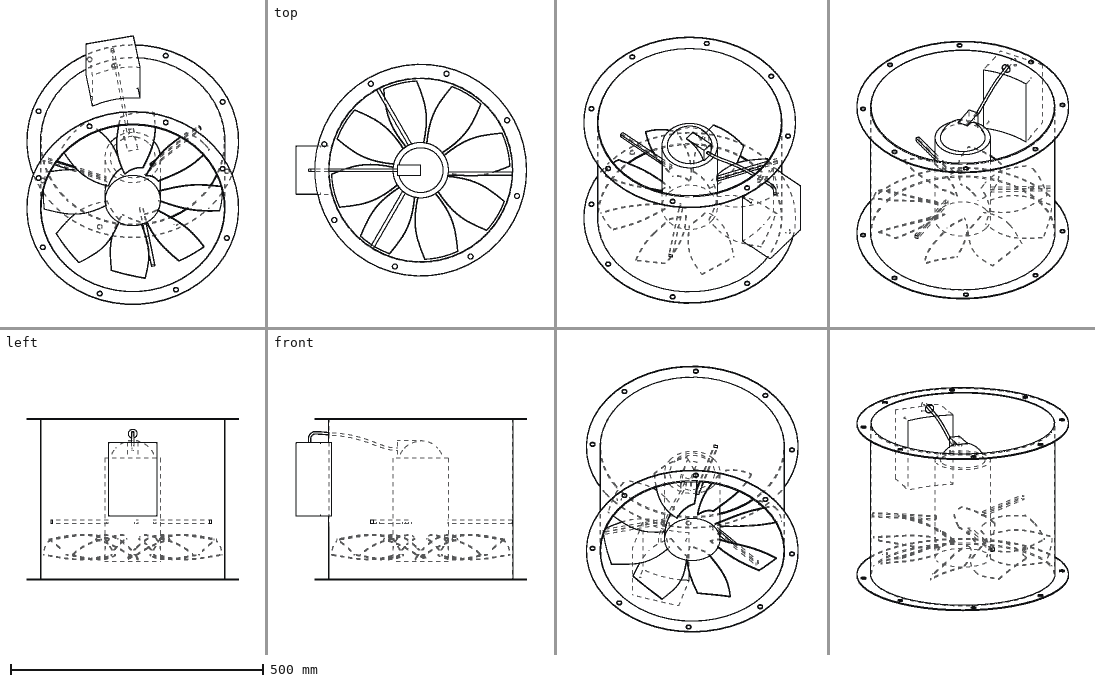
import cadquery as cq
import math

overall_length = 457.5
flange_radius = 210.0
casing_radius = 183.0
bore_radius = 181.5
casing_height = 320.0
flange_thickness = 2.0

bolt_circle_radius = 197.5
bolt_hole_diameter = 9.5
bolt_hole_count = 8
first_bolt_angle = 30

hub_radius = 55.0
hub_bottom = 36.5
hub_top = 241.5
dome_radius = 44.5
dome_height = 34.5

entry_length = 45.8
entry_width = 20.5

blade_count = 8
first_blade_angle = 13.7
blade_tip_radius = 177.0
blade_thickness = 2.0
blade_mid_height = 64.0
blade_camber_angle = 12
blade_sections = [
    (45.8, 15.0, 43),
    (85.5, 31.5, 37),
    (123.5, 38.0, 31),
    (151.0, 36.5, 27),
    (178.5, 33.0, 24),
]

strut_count = 3
strut_size = 7.0
strut_offset = -7.0
strut_height = 115.0

box_outer_x = flange_radius - overall_length
box_width = 96.0
box_bottom = 126.3
box_top = 272.0
box_fillet = 2.5
lid_depth = 49.5

cable_radius = 2.5
cable_x = -220.0
cable_bend_radius = 11.5
cable_top = 291.5
cable_end_height = 258.5
cable_slope_points = [(-142.0, 285.0), (-91.5, 270.0)]
cable_end_direction = (1, 0)
cable_hole_radius = 8.5
cable_hole_height = 289.5
cable_embed = 2.5


def disc(radius, bottom, top):
    """Solid cylinder on the Z axis between two heights."""
    return cq.Workplane("XY").workplane(offset=bottom).circle(radius).extrude(top - bottom)


def make_flange(bottom):
    """Flange disc with its ring of bolt holes."""
    return (
        disc(flange_radius, bottom, bottom + flange_thickness)
        .faces(">Z")
        .workplane()
        .polarArray(bolt_circle_radius, first_bolt_angle, 360, bolt_hole_count)
        .hole(bolt_hole_diameter)
    )


def make_casing():
    """Casing cylinder, still solid inside, with a flange at each end."""
    return (
        disc(casing_radius, 0, casing_height)
        .union(make_flange(0))
        .union(make_flange(casing_height - flange_thickness))
    )


def make_terminal_box():
    """Box reaching into the casing wall, with the edges of its outer lid rounded."""
    height = box_top - box_bottom
    lid = (
        cq.Workplane("XY")
        .box(lid_depth, box_width, height, centered=(False, True, False))
        .edges("|X or <X")
        .fillet(box_fillet)
    )
    body = cq.Workplane("XY").box(
        -box_outer_x - lid_depth, box_width, height, centered=(False, True, False)
    )
    return lid.union(body.translate((lid_depth, 0, 0))).translate((box_outer_x, 0, box_bottom))


def make_hub():
    """Motor barrel with a spherical cap and the cable entry block."""
    apex = hub_top + dome_height
    sphere_radius = (dome_radius**2 + dome_height**2) / (2 * dome_height)
    ball = cq.Workplane("XY").sphere(sphere_radius).translate((0, 0, apex - sphere_radius))
    dome = ball.intersect(disc(hub_radius, hub_top, apex))
    entry_block = (
        cq.Workplane("XY")
        .box(entry_length, entry_width, dome_height, centered=(False, True, False))
        .translate((-entry_length, 0, hub_top))
    )
    return disc(hub_radius, hub_bottom, hub_top).union(dome).union(entry_block)


def make_blade():
    """Twisted, arched blade pointing along +X, lofted outwards and trimmed to the tip circle."""
    wires = []
    for distance, half_width, pitch in blade_sections:
        half_chord = half_width / math.cos(math.radians(pitch))
        arch = half_chord * math.tan(math.radians(blade_camber_angle) / 2)
        section = (
            cq.Workplane("YZ", origin=(distance, 0, blade_mid_height))
            .transformed(rotate=(0, 0, pitch))
            .moveTo(-half_chord, 0)
            .threePointArc((0, arch), (half_chord, 0))
            .lineTo(half_chord, blade_thickness)
            .threePointArc((0, arch + blade_thickness), (-half_chord, blade_thickness))
            .close()
        )
        wires.append(section.val())
    blade = cq.Workplane("XY").add(cq.Solid.makeLoft(wires))
    return blade.intersect(disc(blade_tip_radius, 0, casing_height))


def make_strut():
    """Square bar along +X from inside the hub to the outer face of the casing."""
    bar = (
        cq.Workplane("XY")
        .box(flange_radius, strut_size, strut_size, centered=(False, True, True))
        .translate((0, strut_offset, strut_height))
    )
    return bar.intersect(disc(casing_radius, 0, casing_height))


def make_cable():
    """Cable rising from the box, bending inwards and sloping down to the entry block."""
    bend_start = cable_top - cable_bend_radius
    bend_turn = cable_bend_radius * math.sqrt(0.5)
    bend_x = cable_x + cable_bend_radius
    inner_points = [
        (-casing_radius, cable_hole_height),
        *cable_slope_points,
        (-entry_length + cable_embed, cable_end_height),
    ]
    path = (
        cq.Workplane("XZ")
        .moveTo(cable_x, box_top - cable_embed)
        .lineTo(cable_x, bend_start)
        .threePointArc((bend_x - bend_turn, bend_start + bend_turn), (bend_x, cable_top))
        .spline(inner_points, tangents=[(1, 0), cable_end_direction], includeCurrent=True)
    )
    profile = cq.Workplane("XY", origin=(cable_x, 0, box_top - cable_embed)).circle(cable_radius)
    return profile.sweep(path)


def around_axis(shape, count, first_angle=0):
    """Copies of a shape spread evenly about the Z axis."""
    step = 360 / count
    return [shape.rotate((0, 0, 0), (0, 0, 1), first_angle + index * step) for index in range(count)]


cable_hole = (
    cq.Workplane("YZ", origin=(-flange_radius, 0, cable_hole_height))
    .circle(cable_hole_radius)
    .extrude(flange_radius)
)

result = (
    make_casing()
    .union(make_terminal_box())
    .cut(disc(bore_radius, 0, casing_height))
    .cut(cable_hole)
    .union(make_hub())
    .union(make_cable())
)
for blade in around_axis(make_blade(), blade_count, first_blade_angle):
    result = result.union(blade)
for strut in around_axis(make_strut(), strut_count):
    result = result.union(strut)